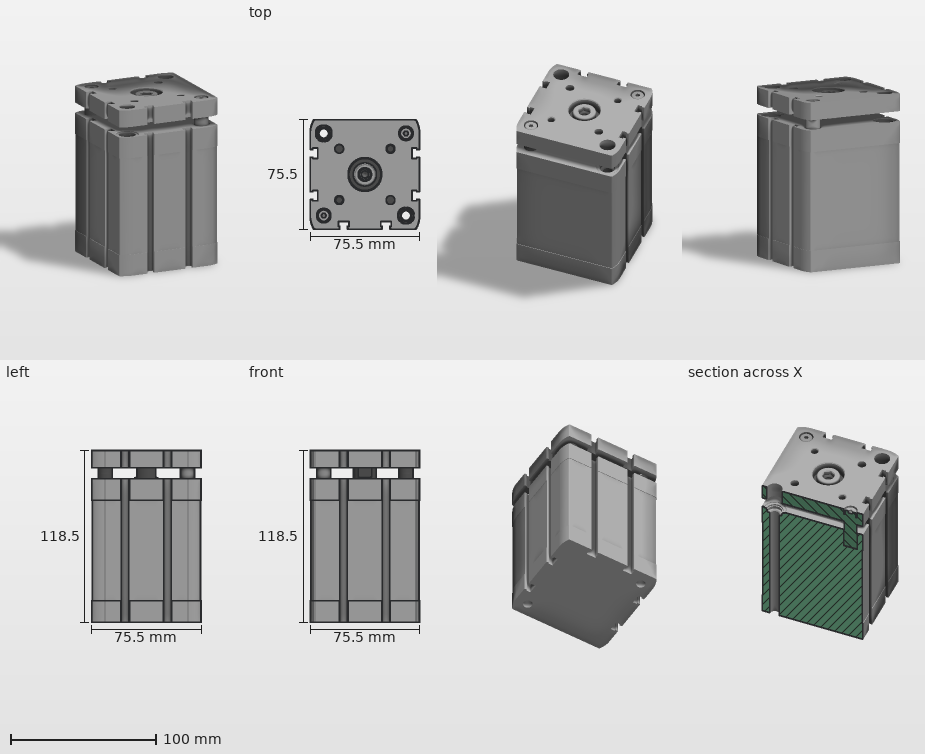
import cadquery as cq
import math

height = 118.5
width = 75.5
plate_thickness = 12.0
gap = 7.3
cap_height = 15.0
tube_inset = 0.4

flat_half_length = 28.5
corner_half_width = 35.2
corner_round = 1.0

slot_spacing = 29.2
slot_opening = 5.2
slot_inner_width = 7.0
slot_depth = 5.2
slot_lip = 2.0
slot_lip_chamfer = 0.4

corner_offset = 28.3
inner_offset = 17.7

piston_rod_diameter = 16.0
piston_rod_round = 1.1
piston_rod_recess = 1.2
wrench_width = 13.0
wrench_flat_rise = 0.5
wrench_flat_round = 1.0
socket_width = 7.7
socket_mouth_diameter = 9.2
socket_depth = 3.4
socket_cone_angle = 118.0
pilot_diameter = 5.0
pilot_depth = 1.2

guide_rod_diameter = 10.0
screw_head_diameter = 8.5
screw_head_height = 5.0
screw_head_chamfer = 0.4
screw_recess = 0.6
screw_hexagon_width = 3.0
screw_hexagon_depth = 1.8

center_bore_diameter = 22.0
center_bore_depth = 7.6
center_bore_chamfer = 0.6
access_hole_diameter = 11.0
pin_hole_diameter = 6.0
tapped_hole_diameter = 4.9
tapped_hole_chamfer = 0.6

bearing_diameter = 12.0
bearing_recess = 0.2
collar_diameter = 15.5
collar_chamfer = 0.41
collar_depth = 0.7
entry_bore_diameter = 12.0
entry_bore_depth = 1.9
screw_bore_diameter = 10.5
screw_bore_depth = 4.0
through_hole_diameter = 6.6
through_hole_chamfer = 0.7

plate_bottom = height - plate_thickness
housing_top = plate_bottom - gap
tube_top = housing_top - cap_height
rod_bottom = tube_top
rod_length = plate_bottom - rod_bottom

guide_rod_points = [(-corner_offset, -corner_offset), (corner_offset, corner_offset)]
access_points = [(-corner_offset, corner_offset), (corner_offset, -corner_offset)]
tapped_points = [(-inner_offset, -inner_offset), (inner_offset, inner_offset)]
pin_points = [(-inner_offset, inner_offset), (inner_offset, -inner_offset)]


def cylinders(points, diameter, bottom, length):
    """Upright cylinders standing on the level `bottom`."""
    return cq.Workplane("XY", origin=(0, 0, bottom)).pushPoints(points).circle(diameter / 2).extrude(length)


def holes(points, diameter, top, depth, chamfer=0.0):
    """Cutters for round holes going down from `top`, with an optional chamfer at the mouth."""
    cutters = cylinders(points, diameter, top - depth, depth)
    if chamfer:
        mouth = cq.Workplane("XY", origin=(0, 0, top)).pushPoints(points).circle(diameter / 2 + chamfer)
        cutters = cutters.union(mouth.extrude(-chamfer, taper=45))
    return cutters


def hexagon_cutter(points, width_across_flats, top, depth):
    """Cutters for hexagon sockets with two of their corners along X."""
    across_corners = width_across_flats / math.cos(math.radians(30))
    sockets = cq.Workplane("XY", origin=(0, 0, top)).pushPoints(points)
    return sockets.polygon(6, across_corners).extrude(-depth)


def slot_cutter():
    """T-shaped slots for the left, right and front sides, over the full height."""
    side = width / 2
    lip_half = slot_opening / 2
    inner_half = slot_inner_width / 2
    half_profile = [
        (lip_half + slot_lip_chamfer, side),
        (lip_half, side - slot_lip_chamfer),
        (lip_half, side - slot_lip),
        (inner_half, side - slot_lip),
        (inner_half, side - slot_depth),
    ]
    profile = half_profile + [(-x, y) for x, y in reversed(half_profile)]
    slot = cq.Workplane("XY").polyline(profile).close().extrude(height)
    pair = slot.translate((-slot_spacing / 2, 0, 0)).union(slot.translate((slot_spacing / 2, 0, 0)))
    cutter = pair.rotate((0, 0, 0), (0, 0, 1), 180)
    for angle in (90, 270):
        cutter = cutter.union(pair.rotate((0, 0, 0), (0, 0, 1), angle))
    return cutter


def profile_block(half_width, bottom, top):
    """Block with the bowed outline; each side curve leaves its flat side tangentially."""
    run_in = half_width - corner_half_width
    run_along = half_width - flat_half_length
    radius = (run_in**2 + run_along**2) / (2 * run_in)
    half_angle = math.asin(run_along / radius) / 2
    middle_x = half_width - radius * (1 - math.cos(half_angle))
    middle_y = flat_half_length + radius * math.sin(half_angle)
    block = (
        cq.Workplane("XY", origin=(0, 0, bottom))
        .moveTo(-corner_half_width, -half_width)
        .lineTo(corner_half_width, -half_width)
        .threePointArc((middle_x, -middle_y), (half_width, -flat_half_length))
        .lineTo(half_width, flat_half_length)
        .threePointArc((middle_x, middle_y), (corner_half_width, half_width))
        .lineTo(-corner_half_width, half_width)
        .threePointArc((-middle_x, middle_y), (-half_width, flat_half_length))
        .lineTo(-half_width, -flat_half_length)
        .threePointArc((-middle_x, -middle_y), (-corner_half_width, -half_width))
        .close()
        .extrude(top - bottom)
    )
    return block.edges("|Z and (<Y or >Y)").fillet(corner_round)


def piston_rod():
    """Rod with a rounded top end, a hexagon socket and two wrench flats just below the plate."""
    top = height - piston_rod_recess
    rod = cylinders([(0, 0)], piston_rod_diameter, rod_bottom, top - rod_bottom)
    rod = rod.faces(">Z").edges().fillet(piston_rod_round)

    rod = rod.cut(hexagon_cutter([(0, 0)], socket_width, top, socket_depth))
    mouth_chamfer = (socket_mouth_diameter - socket_width) / 2
    rod = rod.cut(holes([(0, 0)], socket_width, top, socket_depth, mouth_chamfer))
    cone_slope = math.tan(math.radians(socket_cone_angle / 2))
    pilot_radius = pilot_diameter / 2
    cone_bottom = top - socket_depth - (socket_width / 2 - pilot_radius) / cone_slope
    pilot_bottom = cone_bottom - pilot_depth
    socket_floor = (
        cq.Workplane("XZ")
        .polyline([
            (0, top - socket_depth),
            (socket_width / 2, top - socket_depth),
            (pilot_radius, cone_bottom),
            (pilot_radius, pilot_bottom),
            (0, pilot_bottom - pilot_radius / cone_slope),
        ])
        .close()
        .revolve(360, (0, 0, 0), (0, 1, 0))
    )
    rod = rod.cut(socket_floor)

    flat_height = gap - wrench_flat_rise
    flat_bottom = plate_bottom - flat_height
    for side in (1, -1):
        cutter = (
            cq.Workplane("XY", origin=(0, side * (wrench_width + piston_rod_diameter) / 2, flat_bottom))
            .rect(2 * piston_rod_diameter, piston_rod_diameter)
            .extrude(flat_height)
        )
        inner_face = cutter.faces("<Y" if side > 0 else ">Y")
        rod = rod.cut(inner_face.edges("<Z").fillet(wrench_flat_round))
    return rod


def guide_screws():
    """Chamfered screw heads with hexagon sockets, sunk into the plate over the guide rods."""
    top = height - screw_recess
    seat = height - screw_head_height
    heads = cylinders(guide_rod_points, screw_head_diameter, seat, top - seat)
    heads = heads.faces(">Z").edges().chamfer(screw_head_chamfer)
    return heads.cut(hexagon_cutter(guide_rod_points, screw_hexagon_width, top, screw_hexagon_depth))


def make_slide():
    """Moving body: front plate with the piston rod, guide rods and screw heads."""
    plate = profile_block(width / 2, plate_bottom, height).cut(slot_cutter())
    plate = plate.cut(holes([(0, 0)], center_bore_diameter, height, center_bore_depth, center_bore_chamfer))
    plate = plate.cut(holes([(0, 0)], piston_rod_diameter, height, plate_thickness))
    plate = plate.cut(holes(guide_rod_points, guide_rod_diameter, height, screw_head_height))
    plate = plate.cut(holes(access_points, access_hole_diameter, height, plate_thickness))
    plate = plate.cut(holes(pin_points, pin_hole_diameter, height, plate_thickness))
    plate = plate.cut(
        holes(tapped_points, tapped_hole_diameter, height, plate_thickness, tapped_hole_chamfer)
    )
    guide_rods = cylinders(guide_rod_points, guide_rod_diameter, rod_bottom, rod_length)
    return plate.union(piston_rod()).union(guide_rods).union(guide_screws())


def make_housing():
    """Fixed body: slightly slimmer tube between two end caps, bored for the rods and mounting screws."""
    tube = profile_block(width / 2 - tube_inset, cap_height, tube_top)
    housing = profile_block(width / 2, 0, cap_height).union(tube)
    housing = housing.union(profile_block(width / 2, tube_top, housing_top)).cut(slot_cutter())

    housing = housing.cut(holes([(0, 0)], piston_rod_diameter, housing_top, cap_height))
    housing = housing.cut(holes(guide_rod_points, guide_rod_diameter, housing_top, cap_height))
    housing = housing.cut(holes(guide_rod_points, bearing_diameter, housing_top, bearing_recess))

    screw_seat = housing_top - screw_bore_depth
    housing = housing.cut(holes(access_points, collar_diameter, housing_top, collar_depth, collar_chamfer))
    housing = housing.cut(holes(access_points, entry_bore_diameter, housing_top, entry_bore_depth))
    housing = housing.cut(holes(access_points, screw_bore_diameter, housing_top, screw_bore_depth))
    return housing.cut(
        holes(access_points, through_hole_diameter, screw_seat, screw_seat, through_hole_chamfer)
    )


housing = make_housing()
slide = make_slide()

result = cq.Compound.makeCompound([housing.val(), slide.val()])